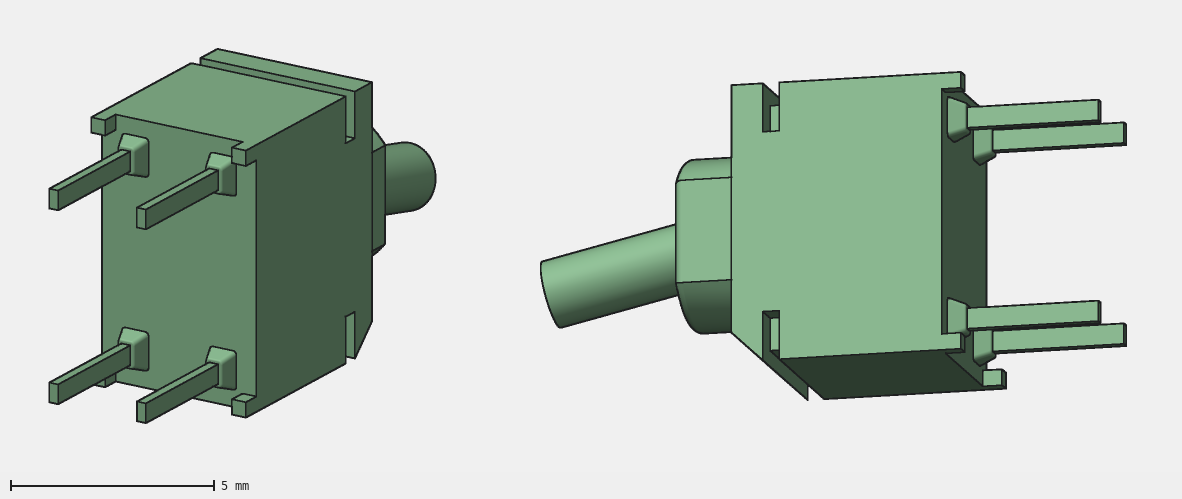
import cadquery as cq
import math


overall_length = 14.42

width = 4.5
height = 7.0
housing_depth = 5.34
flange_depth = 0.8
bevel_height = 0.74

groove_width = 0.42
groove_depth = 0.4
notch_depth = 1.23
left_notch_width = 0.74
right_notch_width = 1.21

foot_size = 0.4
foot_length = 0.49

bushing_diameter = 4.3
bushing_across_flats = 3.43
bushing_length = 1.6
bushing_fillet = 0.22

lever_diameter = 1.7
lever_angle = 12.4
pivot_y = 0.6
lever_tip_y = 5.32

pin_pitch_x = 2.55
pin_pitch_z = 5.08
pin_width = 0.26
pin_height = 0.52
pin_tip_y = lever_tip_y - overall_length
collar_width = 0.78
collar_height = 1.02
collar_length = 0.43
collar_taper = 20.0
collar_corner_radius = 0.12
collar_tip_fillet = 0.06


def block(x_range, y_range, z_range):
    """Axis-aligned box between the given limits."""
    size = [high - low for low, high in (x_range, y_range, z_range)]
    corner = (x_range[0], y_range[0], z_range[0])
    return cq.Workplane("XY").box(*size, centered=False).translate(corner)


def rear_plane(y):
    """Sketch plane that faces -Y, with X to the right and Z up."""
    return cq.Workplane("XZ", origin=(0, y, 0))


def make_housing():
    profile = [
        (0, height / 2),
        (-housing_depth, height / 2),
        (-housing_depth, -height / 2),
        (-flange_depth, -height / 2),
        (0, -height / 2 + bevel_height),
    ]
    return cq.Workplane("YZ").polyline(profile).close().extrude(width / 2, both=True)


def make_groove_cut():
    """Groove and end notches across the top face behind the flange."""
    half_width = width / 2
    top = height / 2
    y_range = (-flange_depth - groove_width, -flange_depth)
    groove = block((-half_width, half_width), y_range, (top - groove_depth, top))
    notch_z = (top - notch_depth, top)
    left_notch = block((-half_width, -half_width + left_notch_width), y_range, notch_z)
    right_notch = block((half_width - right_notch_width, half_width), y_range, notch_z)
    return groove.union(left_notch).union(right_notch)


def make_feet():
    return (
        rear_plane(-housing_depth)
        .rarray(width - foot_size, height - foot_size, 2, 2)
        .rect(foot_size, foot_size)
        .extrude(foot_length)
    )


def make_bushing():
    """Round bushing with two side flats and a rounded front rim."""
    barrel = rear_plane(0).circle(bushing_diameter / 2).extrude(-bushing_length)
    flats = rear_plane(0).rect(bushing_across_flats, bushing_diameter).extrude(-bushing_length)
    return barrel.intersect(flats).faces(">Y").edges().fillet(bushing_fillet)


def make_lever():
    """Straight round lever tilted down; its upper tip edge is the foremost point."""
    angle = math.radians(lever_angle)
    tip_edge_rise = lever_diameter / 2 * math.sin(angle)
    lever_length = (lever_tip_y - tip_edge_rise - pivot_y) / math.cos(angle)
    axis = cq.Vector(0, math.cos(angle), -math.sin(angle))
    plane = cq.Plane(origin=(0, pivot_y, 0), xDir=(1, 0, 0), normal=axis)
    return cq.Workplane(plane).circle(lever_diameter / 2).extrude(lever_length)


def make_pin():
    """One rectangular pin with its collar, centred on X = Z = 0."""
    collar = (
        rear_plane(-housing_depth)
        .rect(collar_width, collar_height)
        .extrude(collar_length, taper=collar_taper)
    )
    collar = collar.edges("not(#Y)").fillet(collar_corner_radius)
    collar = collar.faces("<Y").edges().fillet(collar_tip_fillet)
    pin = rear_plane(-housing_depth).rect(pin_width, pin_height).extrude(-housing_depth - pin_tip_y)
    return collar.union(pin)


groove_cut = make_groove_cut()
result = make_housing().cut(groove_cut).cut(groove_cut.mirror("XY"))
result = result.union(make_feet()).union(make_bushing()).union(make_lever())

pin = make_pin()
for x in (-pin_pitch_x / 2, pin_pitch_x / 2):
    for z in (-pin_pitch_z / 2, pin_pitch_z / 2):
        result = result.union(pin.translate((x, 0, z)))